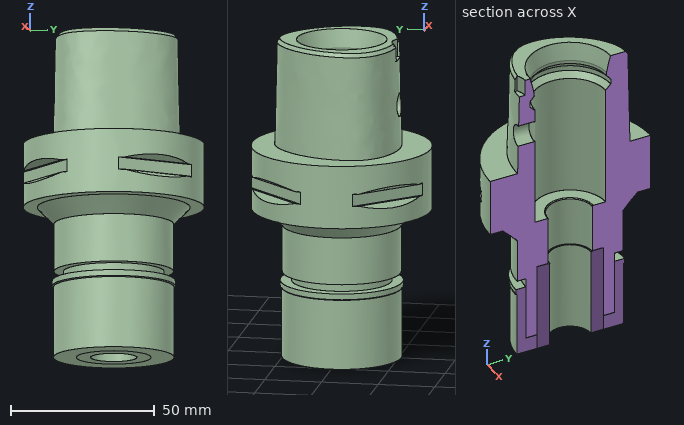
import cadquery as cq
import math

TOTAL_HEIGHT = 113.0
FLANGE_TOP = 75.1
FLANGE_BOTTOM = 52.9
NECK_TOP = 47.0
NECK_BOTTOM = 30.3
NUT_TOP = 27.1

SHANK_RADIUS = 22.1
SHANK_LOBE = 1.4
SHANK_TAPER = 0.022
SHANK_CHAMFER_HEIGHT = 1.4
SHANK_CHAMFER_WIDTH = 0.9
OUTLINE_POINTS = 24

FLANGE_RADIUS = 31.5
NECK_RADIUS = 20.8
CONE_TOP_RADIUS = 26.5
SPIGOT_RADIUS = 17.5

GROOVE_COUNT = 4
GROOVE_FIRST_ANGLE = 45
GROOVE_HEIGHT = 62.9
GROOVE_WIDTH = 4.3
GROOVE_FLOOR = 27.8
GROOVE_BEVEL_START = 28.8
GROOVE_FLARE_ANGLE = 32
GROOVE_OVERSHOOT = 1.1
GROOVE_LENGTH = 29.8

MOUTH_RADIUS = 15.7
LAND_RADIUS = 14.1
LAND_TOP_DEPTH = 6.5
LAND_BOTTOM_DEPTH = 7.8
UNDERCUT_RADIUS = 15.8
UNDERCUT_TOP_DEPTH = 9.8
UNDERCUT_BOTTOM_DEPTH = 11.8
CUP_RADIUS = 13.8
CUP_FLOOR = FLANGE_BOTTOM
CHANNEL_RADIUS = 8.6
CHANNEL_CHAMFER = 0.3

NOTCH_RADIUS = 6.1
NOTCH_WIDTH = 7.2
NOTCH_BACK = 17.9
NOTCH_FLOOR = 106.8
SIDE_HOLE_RADIUS = 4.1
SIDE_HOLE_HEIGHT = 90.5
SIDE_HOLE_BOTTOM = 14.1

NUT_RADIUS = 21.0
LIP_RADIUS = 21.5
LIP_HEIGHT = 2.0
LIP_SLOPE_HEIGHT = 0.3
NUT_FLOOR = 5.6
COLLET_RADIUS = 13.0
COLLET_HEIGHT = 33.9
COLLET_BORE_RADIUS = 8.0


def cylinder(radius, bottom, top):
    """Round bar on the Z axis between two heights."""
    return cq.Workplane("XY").workplane(offset=bottom).circle(radius).extrude(top - bottom)


def revolved(points):
    """Turn a (radius, height) outline around the Z axis."""
    return cq.Workplane("XZ").polyline(points).close().revolve(360, (0, 0, 0), (0, 1, 0))


def lobed_outline(radius, height):
    """Closed constant-width curve with three lobes, one of them pointing along +Y."""

    def point(t):
        angle = 2 * math.pi * t
        reach = radius + SHANK_LOBE * math.cos(3 * angle)
        slope = -3 * SHANK_LOBE * math.sin(3 * angle)
        along = reach * math.cos(angle) - slope * math.sin(angle)
        across = reach * math.sin(angle) + slope * math.cos(angle)
        return cq.Vector(-across, along, height)

    points = [point(i / OUTLINE_POINTS) for i in range(OUTLINE_POINTS)]
    return cq.Wire.assembleEdges([cq.Edge.makeSpline(points, periodic=True)])


def shank():
    """Tapered shank with a chamfered rim."""
    edge_height = TOTAL_HEIGHT - SHANK_CHAMFER_HEIGHT
    edge_radius = SHANK_RADIUS - SHANK_TAPER * (edge_height - FLANGE_TOP)
    base = lobed_outline(SHANK_RADIUS, FLANGE_TOP)
    edge = lobed_outline(edge_radius, edge_height)
    rim = lobed_outline(edge_radius - SHANK_CHAMFER_WIDTH, TOTAL_HEIGHT)
    taper = cq.Solid.makeLoft([base, edge], True)
    chamfer = cq.Solid.makeLoft([edge, rim], True)
    return cq.Workplane(taper).union(cq.Workplane(chamfer))


def flange_and_neck():
    """Turned lower part of the holder, ending in the spigot that carries the nut."""
    return revolved([
        (0, FLANGE_TOP),
        (FLANGE_RADIUS, FLANGE_TOP),
        (FLANGE_RADIUS, FLANGE_BOTTOM),
        (CONE_TOP_RADIUS, FLANGE_BOTTOM),
        (NECK_RADIUS, NECK_TOP),
        (NECK_RADIUS, NECK_BOTTOM),
        (SPIGOT_RADIUS, NECK_BOTTOM),
        (SPIGOT_RADIUS, NUT_FLOOR),
        (0, NUT_FLOOR),
    ])


def gripper_groove(angle):
    """Straight groove across the flange rim with flared walls, facing the given direction."""
    half = GROOVE_WIDTH / 2
    outside = FLANGE_RADIUS + GROOVE_OVERSHOOT
    flare = (outside - GROOVE_BEVEL_START) * math.tan(math.radians(GROOVE_FLARE_ANGLE))
    profile = [
        (GROOVE_FLOOR, -half),
        (GROOVE_BEVEL_START, -half),
        (outside, -half - flare),
        (outside, half + flare),
        (GROOVE_BEVEL_START, half),
        (GROOVE_FLOOR, half),
    ]
    groove = cq.Workplane("XZ").polyline(profile).close().extrude(GROOVE_LENGTH / 2, both=True)
    return groove.translate((0, 0, GROOVE_HEIGHT)).rotate((0, 0, 0), (0, 0, 1), angle)


def cup():
    """Stepped and undercut cavity in the shank, leading to the channel down to the collet."""
    return revolved([
        (0, TOTAL_HEIGHT),
        (MOUTH_RADIUS, TOTAL_HEIGHT),
        (LAND_RADIUS, TOTAL_HEIGHT - LAND_TOP_DEPTH),
        (LAND_RADIUS, TOTAL_HEIGHT - LAND_BOTTOM_DEPTH),
        (UNDERCUT_RADIUS, TOTAL_HEIGHT - UNDERCUT_TOP_DEPTH),
        (UNDERCUT_RADIUS, TOTAL_HEIGHT - UNDERCUT_BOTTOM_DEPTH),
        (CUP_RADIUS, TOTAL_HEIGHT - UNDERCUT_BOTTOM_DEPTH - (UNDERCUT_RADIUS - CUP_RADIUS)),
        (CUP_RADIUS, CUP_FLOOR),
        (CHANNEL_RADIUS + CHANNEL_CHAMFER, CUP_FLOOR),
        (CHANNEL_RADIUS, CUP_FLOOR - CHANNEL_CHAMFER),
        (CHANNEL_RADIUS, COLLET_HEIGHT),
        (0, COLLET_HEIGHT),
    ])


def rim_notch():
    """Round-backed notch in the rim."""
    centre = -(NOTCH_BACK + NOTCH_RADIUS)
    height = TOTAL_HEIGHT - NOTCH_FLOOR
    round_back = cylinder(NOTCH_RADIUS, NOTCH_FLOOR, TOTAL_HEIGHT).translate((0, centre, 0))
    sides = cq.Workplane("XY").box(NOTCH_WIDTH, 2 * NOTCH_RADIUS, height)
    return round_back.intersect(sides.translate((0, centre, NOTCH_FLOOR + height / 2)))


def side_hole():
    """Flat-bottomed blind hole in the side of the shank."""
    start = cq.Workplane("XZ", origin=(0, -SIDE_HOLE_BOTTOM, SIDE_HOLE_HEIGHT))
    return start.circle(SIDE_HOLE_RADIUS).extrude(FLANGE_RADIUS - SIDE_HOLE_BOTTOM)


def make_holder():
    """Shank, flange and neck with the cup, grooves and collet socket cut in."""
    body = shank().union(flange_and_neck()).cut(cup())
    body = body.cut(rim_notch()).cut(side_hole())
    for i in range(GROOVE_COUNT):
        body = body.cut(gripper_groove(GROOVE_FIRST_ANGLE + i * 360 / GROOVE_COUNT))
    return body.cut(cylinder(COLLET_RADIUS, NUT_FLOOR, COLLET_HEIGHT))


def make_nut():
    """Clamping nut around the spigot, open at the nose for the collet."""
    lip_bottom = NUT_TOP - LIP_HEIGHT
    return revolved([
        (COLLET_RADIUS, 0),
        (NUT_RADIUS, 0),
        (NUT_RADIUS, lip_bottom - LIP_SLOPE_HEIGHT),
        (LIP_RADIUS, lip_bottom),
        (LIP_RADIUS, NUT_TOP),
        (SPIGOT_RADIUS, NUT_TOP),
        (SPIGOT_RADIUS, NUT_FLOOR),
        (COLLET_RADIUS, NUT_FLOOR),
    ])


def make_collet():
    """Plain bored sleeve that fills the socket and ends flush with the nut."""
    return cylinder(COLLET_RADIUS, 0, COLLET_HEIGHT).cut(cylinder(COLLET_BORE_RADIUS, 0, COLLET_HEIGHT))


holder = make_holder()
nut = make_nut()
collet = make_collet()

result = cq.Compound.makeCompound([holder.val(), nut.val(), collet.val()])